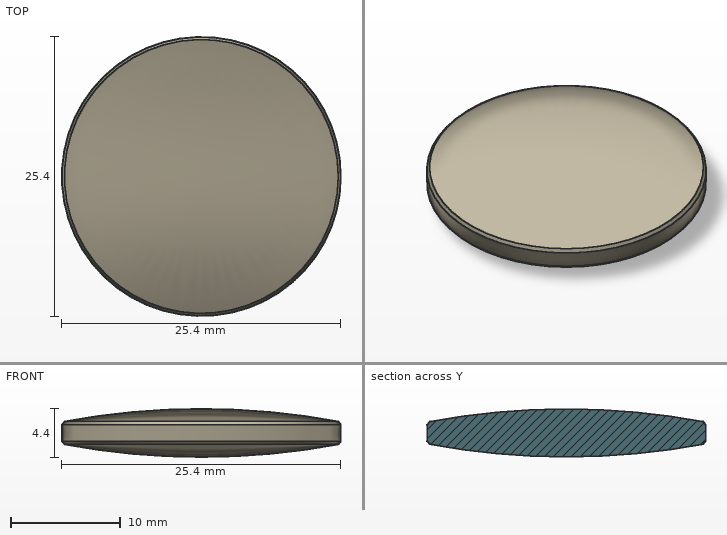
import cadquery as cq
import math

diameter = 25.4
center_thickness = 4.4
edge_thickness = 2.0
bevel = 0.25

rim_radius = diameter / 2
apex_z = center_thickness / 2
sag = (center_thickness - edge_thickness) / 2
curvature_radius = (rim_radius**2 + sag**2) / (2 * sag)


def face_z(radius):
    """Height of the upper spherical face at a distance from the axis."""
    return apex_z - curvature_radius + math.sqrt(curvature_radius**2 - radius**2)


face_radius = rim_radius - bevel
face_edge_z = face_z(face_radius)
rim_z = edge_thickness / 2 - bevel


def make_lens():
    """Revolve the half section: two spherical faces joined by a bevelled rim."""
    arc_mid_radius = face_radius / 2
    arc_mid_z = face_z(arc_mid_radius)
    half_section = (
        cq.Workplane("XZ")
        .moveTo(0, -apex_z)
        .threePointArc((arc_mid_radius, -arc_mid_z), (face_radius, -face_edge_z))
        .lineTo(rim_radius, -rim_z)
        .lineTo(rim_radius, rim_z)
        .lineTo(face_radius, face_edge_z)
        .threePointArc((arc_mid_radius, arc_mid_z), (0, apex_z))
        .close()
    )
    axis_start = (0, 0, 0)
    axis_end = (0, 1, 0)
    return half_section.revolve(360, axis_start, axis_end)


result = make_lens()